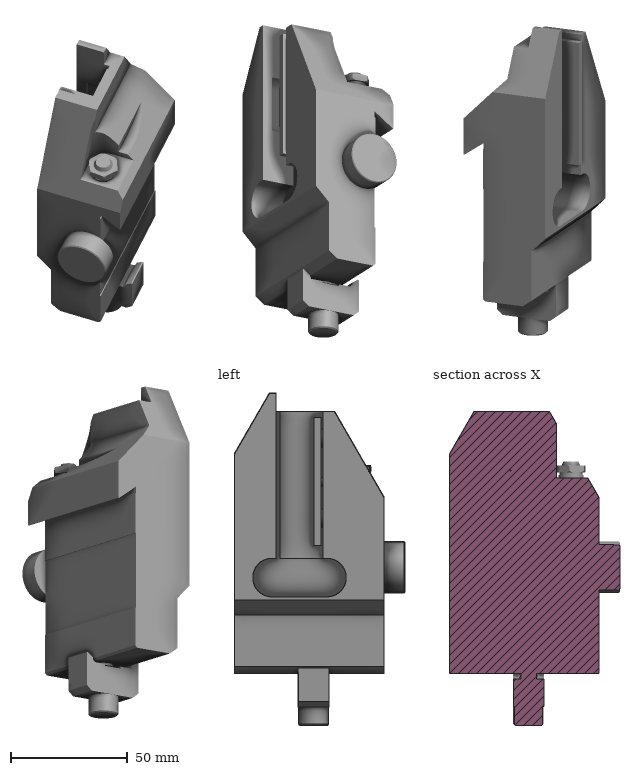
import cadquery as cq
import math


overlap = 1.4

width = 64.0
depth = 38.1
foot_z = 22.2
shoulder_z = 134.5
top_z = 142.3
front_step = 6.4
front_step_z = 53.6
foot_chamfer_x = 4.1
foot_chamfer_z = 3.0
foot_back_chamfer = 1.0
pad_x = 29.2
pad_relief = 0.4
pad_height = 17.6
hook_apex_z = 93.0
hook_relief_height = 2.8
hook_tip_z = 86.8
hook_tip_flat = 0.4
head_depth = 19.2
back_slope_z = 121.9
side_slope = math.tan(math.radians(60))
near_slope_z = 97.7
far_slope_z = 116.4

horn_depth = 12.5
horn_y = 46.2
channel_y = 26.0
channel_depth = 14.7
relief_width = 1.7
relief_depth = 0.4
slot_y_min = 16.2
slot_y_max = 56.2
slot_z = 63.3
slot_height = 16.5
slot_depth = channel_depth + relief_depth

window_x_min = 4.4
window_width = 4.7
window_z = 107.0
window_floor = 14.8
window_sink = 2.1
cutter_diameter = 13.0

blade_proud = 0.9
blade_back = 14.1
blade_y = 27.0
blade_thickness = 3.0
blade_z = 77.1
blade_height = 54.8
pin_x = 7.4
outer_pin_diameter = 8.0
middle_pin_diameter = 3.8
pins = (
    (88.8, outer_pin_diameter),
    (104.1, middle_pin_diameter),
    (122.9, outer_pin_diameter),
)

pocket_x = 18.0
pocket_y = 23.2
pocket_z = 106.0
pocket_radius = 8.1
nut_x = 25.6
nut_y = 12.0
washer_diameter = 10.7
washer_height = 1.1
collar_diameter = 10.0
collar_height = 1.1
nut_sides = 6
nut_corners = 13.8
nut_height = 3.0
nut_turn = -5
nut_chamfer = 0.5
stud_diameter = 8.0
stud_rise = 1.7
stud_tip_diameter = 6.3
arc_cut_x = 28.3
arc_cut_y = 29.3
arc_cut_half_chord = 20.9
arc_cut_sag = 4.4

knob_diameter = 22.0
knob_x = 23.8
knob_z = 67.7
knob_length = 9.0
knob_chamfer = 0.4

clamp_y = 30.2
clamp_width = 13.2
clamp_z = 8.0
clamp_floor_z = 20.8
clamp_top_z = 24.6
clamp_left = 6.8
clamp_right = 34.4
screw_x = 20.6
clip_x = 21.9
clip_diameter = 10.7
clip_thickness = 0.5
screw_head_diameter = 13.0
screw_head_chamfer = 0.5
screw_diameter = 8.0
groove_width = 8.1
groove_depth = 0.9
clamp_left_chamfer = (3.0, 2.3)
clamp_right_chamfer = (2.5, 2.1)
seat_gap = 0.3
seat_foot_x = 11.0
tooth_flat = 0.5
tooth_foot_x = 30.0
tooth_knee = (31.2, 21.8)
tooth_shelf = (31.3, 22.9)


def box(x_min, x_max, y_min, y_max, z_min, z_max):
    size = (x_max - x_min, y_max - y_min, z_max - z_min)
    return cq.Workplane("XY").box(*size, centered=False).translate((x_min, y_min, z_min))


def rod(diameter, start, direction, length):
    return cq.Workplane(cq.Solid.makeCylinder(diameter / 2, length, cq.Vector(*start), cq.Vector(*direction)))


def side_profile(points, y_min, y_max):
    """Extrude an XZ outline from y_min to y_max."""
    return cq.Workplane("XZ").polyline(points).close().extrude(y_min - y_max).translate((0, y_min, 0))


def make_body():
    relief_x = pad_x - pad_relief
    hook_relief_z = hook_apex_z - hook_relief_height
    thickness = side_profile(
        [
            (0, front_step_z),
            (0, top_z),
            (head_depth, top_z),
            (head_depth, back_slope_z),
            (depth, back_slope_z - (depth - head_depth)),
            (depth, hook_tip_z),
            (depth - hook_tip_flat, hook_tip_z),
            (relief_x, hook_apex_z),
            (relief_x, hook_relief_z),
            (pad_x, hook_relief_z),
            (pad_x, hook_relief_z - pad_height),
            (relief_x, hook_relief_z - pad_height),
            (relief_x, foot_z + pad_height),
            (pad_x, foot_z + pad_height),
            (pad_x, foot_z + foot_back_chamfer),
            (pad_x - foot_back_chamfer, foot_z),
            (front_step + foot_chamfer_x, foot_z),
            (front_step, foot_z + foot_chamfer_z),
            (front_step, front_step_z - front_step),
        ],
        0,
        width,
    )
    outline = (
        cq.Workplane("YZ")
        .polyline(
            [
                (0, foot_z),
                (0, near_slope_z),
                ((shoulder_z - near_slope_z) / side_slope, shoulder_z),
                (horn_y, shoulder_z),
                (horn_y, top_z),
                (width - (top_z - far_slope_z) / side_slope, top_z),
                (width, far_slope_z),
                (width, foot_z),
            ]
        )
        .close()
        .extrude(depth)
    )
    behind_horn = box(horn_depth, depth, 0, width, shoulder_z, top_z)
    return thickness.intersect(outline).cut(behind_horn)


def channel_cut():
    channel = box(0, channel_depth, channel_y, horn_y, slot_z, top_z)
    relief = box(0, channel_depth + relief_depth, horn_y - relief_width, horn_y, slot_z, top_z)
    slot = (
        cq.Workplane("YZ")
        .center((slot_y_min + slot_y_max) / 2, slot_z)
        .slot2D(slot_y_max - slot_y_min, slot_height)
        .extrude(slot_depth)
    )
    above_slot = box(0, depth, 0, width, slot_z + slot_height / 2, top_z)
    return channel.union(relief).intersect(above_slot).union(slot)


def window_cut():
    """Pocket with a flat floor and ends rounded by a disc cutter."""
    pocket = (
        cq.Workplane("YZ", origin=(window_x_min, 0, 0))
        .center(horn_y + window_sink - cutter_diameter / 2, window_z)
        .slot2D(window_floor + cutter_diameter, cutter_diameter, 90)
        .extrude(window_width)
    )
    beyond_wall = box(0, depth, horn_y, width, 0, top_z)
    return pocket.intersect(beyond_wall)


def arc_cut():
    """Shallow disc-shaped cut in the back slope, with a flat wall facing +X."""
    radius = (arc_cut_half_chord**2 + arc_cut_sag**2) / (2 * arc_cut_sag)
    rim_z = back_slope_z - (arc_cut_x - head_depth)
    axis = (arc_cut_x, arc_cut_y, rim_z - arc_cut_sag + radius)
    return rod(2 * radius, axis, (1, 0, 0), depth - arc_cut_x)


def pocket_cut():
    block = box(pocket_x, depth, 0, pocket_y, pocket_z, top_z)
    return block.edges("|Z and <X and >Y").fillet(pocket_radius)


def make_blade():
    blade = box(-blade_proud, blade_back, blade_y, blade_y + blade_thickness, blade_z, blade_z + blade_height)
    pin_start_y = channel_y - overlap
    for height, diameter in pins:
        pin = rod(diameter, (pin_x, pin_start_y, height), (0, 1, 0), blade_y - pin_start_y)
        blade = blade.union(pin)
    return blade


def make_nut():
    collar_z = pocket_z + washer_height
    nut_z = collar_z + collar_height
    washer = rod(washer_diameter, (0, 0, pocket_z), (0, 0, 1), washer_height)
    collar = rod(collar_diameter, (0, 0, collar_z), (0, 0, 1), collar_height)
    blank = rod(nut_corners, (0, 0, nut_z), (0, 0, 1), nut_height).edges().chamfer(nut_chamfer)
    hexagon = cq.Workplane("XY").polygon(nut_sides, nut_corners).extrude(nut_height)
    nut = hexagon.rotate((0, 0, 0), (0, 0, 1), nut_turn).translate((0, 0, nut_z)).intersect(blank)
    stud_base = cq.Vector(0, 0, nut_z + nut_height)
    stud = cq.Workplane(cq.Solid.makeCone(stud_diameter / 2, stud_tip_diameter / 2, stud_rise, stud_base))
    return washer.union(collar).union(nut).union(stud).translate((nut_x, nut_y, 0))


def make_knob():
    knob = rod(knob_diameter, (knob_x, 0, knob_z), (0, -1, 0), knob_length)
    return knob.faces("<Y").chamfer(knob_chamfer)


def make_clamp():
    y_min = clamp_y - clamp_width / 2
    y_max = clamp_y + clamp_width / 2
    seat_slope = foot_chamfer_x / foot_chamfer_z
    seat_top_x = front_step + (foot_z + foot_chamfer_z - clamp_top_z) * seat_slope
    seat_end_x = front_step + foot_chamfer_x - seat_gap * seat_slope
    jaw = side_profile(
        [
            (clamp_left, clamp_z + clamp_left_chamfer[1]),
            (clamp_left, clamp_top_z),
            (seat_top_x, clamp_top_z),
            (seat_end_x, foot_z + seat_gap),
            (seat_foot_x, clamp_floor_z),
            (tooth_foot_x, clamp_floor_z),
            tooth_knee,
            tooth_shelf,
            (clamp_right - tooth_flat, clamp_top_z),
            (clamp_right, clamp_top_z),
            (clamp_right, clamp_z + clamp_right_chamfer[1]),
            (clamp_right - clamp_right_chamfer[0], clamp_z),
            (clamp_left + clamp_left_chamfer[0], clamp_z),
        ],
        y_min,
        y_max,
    )
    groove = box(
        screw_x - groove_width / 2,
        screw_x + groove_width / 2,
        y_min,
        y_max,
        clamp_floor_z - groove_depth,
        clamp_floor_z,
    )
    shank = rod(screw_diameter, (screw_x, clamp_y, clamp_z), (0, 0, 1), foot_z - clamp_z + overlap)
    clip = rod(clip_diameter, (clip_x, clamp_y, clamp_floor_z), (0, 0, 1), clip_thickness)
    head = rod(screw_head_diameter, (screw_x, clamp_y, 0), (0, 0, 1), clamp_z)
    head = head.faces("<Z").chamfer(screw_head_chamfer)
    return jaw.cut(groove).union(shank).union(clip).union(head)


result = make_body().cut(channel_cut()).cut(window_cut()).cut(pocket_cut()).cut(arc_cut())
result = result.union(make_blade()).union(make_nut()).union(make_knob()).union(make_clamp())